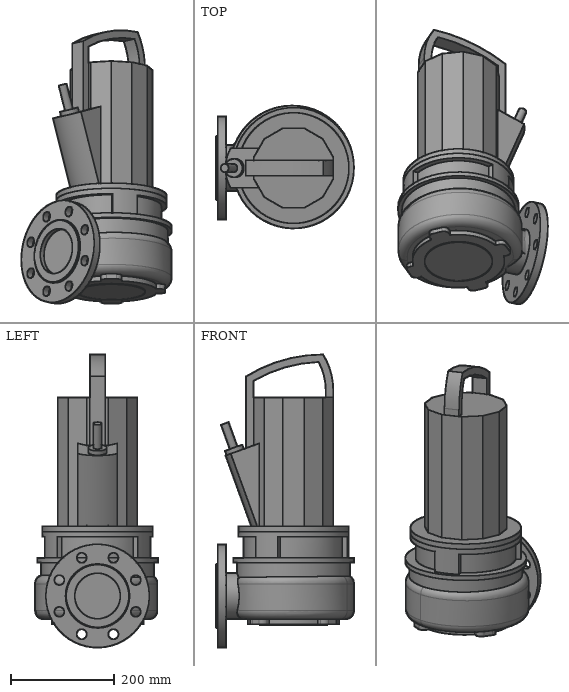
import cadquery as cq
import math


flange_diameter = 200.0
flange_thickness = 16.0
raised_face_diameter = 124.0
raised_face_rim = 1.5
raised_face_height = 3.5
raised_face_x = -150.0
flange_face_x = raised_face_x + raised_face_height
flange_back_x = flange_face_x + flange_thickness
bolt_circle_diameter = 160.0
bolt_hole_diameter = 19.0
bolt_hole_count = 8
nozzle_diameter = 89.5
bore_diameter = 88.0
bore_depth = 10.0

volute_join_radius = 116.65
volute_join_angle = -28.0
volute_wide_radius = 119.6
volute_narrow_radius = 115.2
volute_gap_angle = 15.0
nozzle_root_radius = 8.0
volute_bottom_z = -45.0
volute_top_z = 41.0
volute_edge_radius = 17.0
neck_diameter = 219.0
casing_flange_diameter = 234.0
casing_flange_bottom_z = 64.5
casing_flange_top_z = 73.5

cover_radius = 89.0
cover_bottom_z = -54.8
suction_rim_radius = 65.5
suction_rim_bottom_z = -56.5
pad_count = 4
pad_reach = 104.0
pad_width = 40.0
pad_corner_radius = 10.5

collar_radius = 107.0
window_top_z = 114.0
window_floor_radius = 97.0
post_count = 3
post_width = 49.0
seal_housing_top_z = 124.5

motor_flange_top_z = 135.0
motor_side_count = 12
motor_across_flats = 154.0
motor_top_z = 384.0

overall_height = 567.0
handle_top_z = overall_height - flange_diameter / 2
handle_width = 30.0
handle_bar = 15.0
handle_rear_x = -92.0
handle_peak_x = 57.0
handle_front_x = motor_across_flats / 2
handle_top_radius = 281.0
handle_front_radius = 130.0

cable_tilt = 20.0
entry_width = 77.0
entry_bulge = 11.0
entry_depth = 90.0
entry_length = 220.0
entry_corner_x = -121.3
entry_corner_z = 275.0
gland_centre_from_corner = 9.0
gland_diameter = 36.0
gland_height = 9.0
cable_diameter = 16.0
cable_length = 50.0


def disc(diameter, bottom_z, top_z):
    """Upright cylinder on the motor axis."""
    return cq.Workplane("XY").workplane(offset=bottom_z).circle(diameter / 2).extrude(top_z - bottom_z)


def motor_prism(bottom_z, top_z):
    """Twelve-sided prism with flats square to X and Y."""
    across_corners = motor_across_flats / math.cos(math.pi / motor_side_count)
    half_step = 180.0 / motor_side_count
    return (
        cq.Workplane("XY").workplane(offset=bottom_z)
        .polygon(motor_side_count, across_corners).extrude(top_z - bottom_z)
        .rotate((0, 0, 0), (0, 0, 1), half_step)
    )


def make_motor():
    """Motor housing with its round base flange."""
    flange = disc(2 * collar_radius, seal_housing_top_z, motor_flange_top_z)
    return flange.union(motor_prism(motor_flange_top_z, motor_top_z))


def make_seal_housing():
    """Collar carried on parallel-sided posts around a core, leaving a shallow window between posts."""
    windows = disc(2 * collar_radius, casing_flange_top_z, window_top_z)
    windows = windows.cut(disc(2 * window_floor_radius, casing_flange_top_z, window_top_z))
    for index in range(post_count):
        post = (
            cq.Workplane("XY").workplane(offset=casing_flange_top_z)
            .center(collar_radius, 0).rect(collar_radius, post_width)
            .extrude(window_top_z - casing_flange_top_z)
            .rotate((0, 0, 0), (0, 0, 1), index * 360.0 / post_count)
        )
        windows = windows.cut(post)
    return disc(2 * collar_radius, casing_flange_top_z, seal_housing_top_z).cut(windows)


def x_cylinder(diameter, start_x, end_x):
    """Cylinder on the nozzle axis."""
    return cq.Workplane("YZ").workplane(offset=start_x).circle(diameter / 2).extrude(end_x - start_x)


def polar(radius, angle):
    """Point at a radius and an angle in degrees from +X."""
    return (radius * math.cos(math.radians(angle)), radius * math.sin(math.radians(angle)))


def make_volute():
    """Rounded volute: a narrow arc that runs tangent into a wider one, both off-centre."""
    gap_start = 180.0 - volute_gap_angle
    gap_end = volute_gap_angle - 180.0

    def on_arc(radius, angle):
        centre_x, centre_y = polar(volute_join_radius - radius, volute_join_angle)
        x, y = polar(radius, angle)
        return (centre_x + x, centre_y + y)

    def arc_middle(radius, end_angle):
        return on_arc(radius, (end_angle + volute_join_angle) / 2)

    join = polar(volute_join_radius, volute_join_angle)
    return (
        cq.Workplane("XY").workplane(offset=volute_bottom_z)
        .moveTo(*on_arc(volute_narrow_radius, gap_end))
        .threePointArc(arc_middle(volute_narrow_radius, gap_end), join)
        .threePointArc(arc_middle(volute_wide_radius, gap_start), on_arc(volute_wide_radius, gap_start))
        .close().extrude(volute_top_z - volute_bottom_z)
        .faces("<Z or >Z").edges().fillet(volute_edge_radius)
    )


def make_nozzle_root():
    """Rounded root between the nozzle and the wide (+Y) side of the volute's upright wall."""
    span = 2 * nozzle_diameter
    centre = polar(volute_join_radius - volute_wide_radius, volute_join_angle)
    wall = cq.Workplane("XY").center(*centre).circle(volute_wide_radius).extrude(nozzle_diameter, both=True)
    root_zone = cq.selectors.BoxSelector(
        (flange_back_x + 1, -span, -span), (0, span, span), boundingbox=True
    )
    root = wall.union(x_cylinder(nozzle_diameter, flange_back_x, 0))
    root = root.edges(root_zone).fillet(nozzle_root_radius)

    wall_bottom_z = volute_bottom_z + volute_edge_radius
    wall_top_z = volute_top_z - volute_edge_radius
    kept_zone = (
        cq.Workplane("XY").workplane(offset=wall_bottom_z)
        .center(flange_back_x, span / 2).rect(nozzle_diameter, span)
        .extrude(wall_top_z - wall_bottom_z)
    )
    return root.intersect(kept_zone)


def make_casing():
    """Volute and neck with the upper flange and the bolted discharge flange."""
    volute = make_volute()
    neck = disc(neck_diameter, 0, casing_flange_bottom_z)
    top_flange = disc(casing_flange_diameter, casing_flange_bottom_z, casing_flange_top_z)
    nozzle = x_cylinder(nozzle_diameter, flange_back_x, 0)
    flange = x_cylinder(flange_diameter, flange_face_x, flange_back_x)
    raised_face = (
        x_cylinder(raised_face_diameter, raised_face_x, flange_face_x)
        .faces("<X").edges().chamfer(raised_face_rim)
    )
    bolt_holes = (
        cq.Workplane("YZ").workplane(offset=flange_face_x)
        .polarArray(bolt_circle_diameter / 2, 180.0 / bolt_hole_count, 360, bolt_hole_count)
        .circle(bolt_hole_diameter / 2).extrude(flange_thickness)
    )
    bore = x_cylinder(bore_diameter, raised_face_x, raised_face_x + bore_depth)
    casing = volute.union(neck).union(top_flange).union(nozzle).union(make_nozzle_root())
    return casing.union(flange.cut(bolt_holes)).union(raised_face).cut(bore)


def make_suction_cover():
    """Round cover with four pads on the diagonals and a slightly deeper rim in the middle."""
    cover = disc(2 * cover_radius, cover_bottom_z, volute_bottom_z)
    for index in range(pad_count):
        pad = (
            cq.Workplane("XY").workplane(offset=cover_bottom_z)
            .center(pad_reach / 2, 0).rect(pad_reach, pad_width)
            .extrude(volute_bottom_z - cover_bottom_z)
            .edges("|Z and >X").fillet(pad_corner_radius)
            .rotate((0, 0, 0), (0, 0, 1), (index + 0.5) * 360.0 / pad_count)
        )
        cover = cover.union(pad)
    return cover.union(disc(2 * suction_rim_radius, suction_rim_bottom_z, cover_bottom_z))


def handle_outline(inset):
    """Area under the arched bar, with its edge moved inwards by `inset`."""
    rear_x = handle_rear_x + inset
    front_x = handle_front_x - inset
    top_radius = handle_top_radius - inset
    front_radius = handle_front_radius - inset
    top_centre_z = handle_top_z - handle_top_radius
    front_centre_x = handle_front_x - handle_front_radius
    front_centre_z = handle_top_z - math.sqrt(handle_front_radius**2 - (handle_peak_x - front_centre_x) ** 2)

    def on_top_arc(x):
        return (x, top_centre_z + math.sqrt(top_radius**2 - (x - handle_peak_x) ** 2))

    def on_front_arc(z):
        return (front_centre_x + math.sqrt(front_radius**2 - (z - front_centre_z) ** 2), z)

    corner_z = handle_top_z - inset
    corner = on_front_arc(corner_z)
    rear = on_top_arc(rear_x)
    return (
        cq.Workplane("XZ").moveTo(rear_x, motor_flange_top_z).lineTo(*rear)
        .threePointArc(on_top_arc((rear_x + corner[0]) / 2), corner)
        .threePointArc(on_front_arc((corner_z + front_centre_z) / 2), (front_x, front_centre_z))
        .lineTo(front_x, motor_flange_top_z).close()
        .extrude(handle_width / 2, both=True)
    )


def make_handle(motor):
    """Arched bar whose front leg stands on the motor and whose rear leg ends on the cable entry."""
    bar = handle_outline(0).cut(handle_outline(handle_bar))
    below_entry_top = (
        cq.Workplane(entry_plane()).rect(2 * entry_length, 2 * entry_width).extrude(-entry_length)
    )
    return bar.cut(below_entry_top).cut(motor)


def entry_plane():
    """Plane of the sloping entry top: x runs up the slope towards the motor, z along the cable."""
    tilt = math.radians(cable_tilt)
    return cq.Plane(
        origin=(entry_corner_x, 0, entry_corner_z),
        xDir=(math.cos(tilt), 0, math.sin(tilt)),
        normal=(-math.sin(tilt), 0, math.cos(tilt)),
    )


def cable_entry_block():
    """Tilted bar with a bulged outer side, before it is fitted to the motor."""
    half_width = entry_width / 2
    return (
        cq.Workplane(entry_plane()).moveTo(0, half_width)
        .threePointArc((-entry_bulge, 0), (0, -half_width))
        .lineTo(entry_depth, -half_width).lineTo(entry_depth, half_width).close()
        .extrude(-entry_length)
    )


def make_cable_entry(motor):
    """Wedge-shaped entry that fits against the motor sides and stands on the motor flange."""
    below = disc(4 * collar_radius, motor_flange_top_z - entry_length, motor_flange_top_z)
    return cable_entry_block().cut(below).cut(motor)


def cable_cylinder(diameter, start, length):
    """Cylinder on the cable axis, starting at a height above the entry top."""
    return (
        cq.Workplane(entry_plane()).workplane(offset=start)
        .center(gland_centre_from_corner, 0).circle(diameter / 2).extrude(length)
    )


motor = make_motor()
seal_housing = make_seal_housing()
casing = make_casing()
suction_cover = make_suction_cover()
cable_entry = make_cable_entry(motor)
handle = make_handle(motor)
gland = cable_cylinder(gland_diameter, 0, gland_height)
cable = cable_cylinder(cable_diameter, gland_height, cable_length)

bodies = [motor, seal_housing, casing, suction_cover, cable_entry, handle, gland, cable]
result = cq.Compound.makeCompound([body.solids().val() for body in bodies])